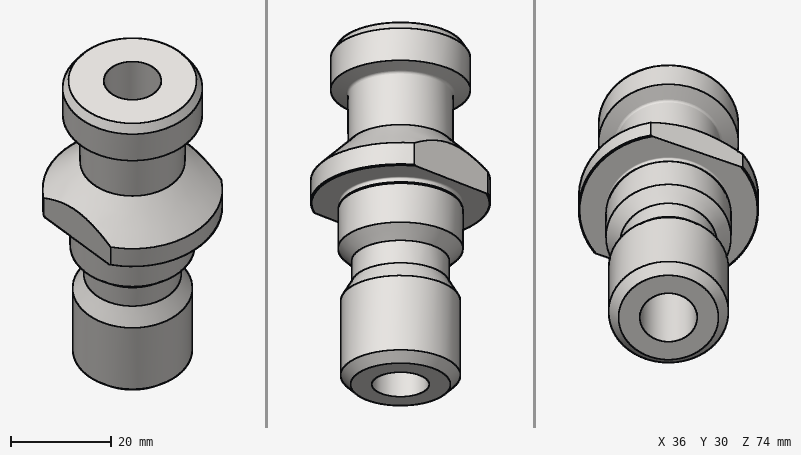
import cadquery as cq
import math

total_height = 74.0
bore_diameter = 11.5

head_radius = 28.0 / 2
head_bottom = 65.05
head_bevel_height = 1.85
head_bevel_width = 1.2
head_underside_angle = math.radians(15)

neck_radius = 21.0 / 2
neck_fillet = 0.5

collar_radius = 36.0 / 2
collar_bottom = 40.0
collar_rim_top = 45.0
collar_edge_chamfer = 0.2
across_flats = 30.0

undercut_radius = 24.5 / 2
undercut_bottom = 39.0
undercut_fillet = 0.3
pilot_radius = 25.0 / 2
pilot_bottom = 30.0
pilot_lead_angle = math.radians(30)

waist_radius = 19.5 / 2
waist_bottom = 22.3
shank_radius = 24.0 / 2
shank_shoulder_angle = math.radians(30)
shank_chamfer = 2.0

neck_top = head_bottom - (head_radius - neck_radius) * math.tan(head_underside_angle)
neck_bottom = collar_rim_top + collar_radius - neck_radius
pilot_top = undercut_bottom - (pilot_radius - undercut_radius) / math.tan(pilot_lead_angle)
waist_top = pilot_bottom - (pilot_radius - waist_radius)
shank_top = waist_bottom - (shank_radius - waist_radius) / math.tan(shank_shoulder_angle)


def turned_body():
    """Revolve the stepped half profile about the Z axis."""
    profile = [
        (0, 0),
        (shank_radius - shank_chamfer, 0),
        (shank_radius, shank_chamfer),
        (shank_radius, shank_top),
        (waist_radius, waist_bottom),
        (waist_radius, waist_top),
        (pilot_radius, pilot_bottom),
        (pilot_radius, pilot_top),
        (undercut_radius, undercut_bottom),
        (undercut_radius, collar_bottom),
        (collar_radius - collar_edge_chamfer, collar_bottom),
        (collar_radius, collar_bottom + collar_edge_chamfer),
        (collar_radius, collar_rim_top),
        (neck_radius, neck_bottom),
        (neck_radius, neck_top),
        (head_radius, head_bottom),
        (head_radius, total_height - head_bevel_height),
        (head_radius - head_bevel_width, total_height),
        (0, total_height),
    ]
    return cq.Workplane("XZ").polyline(profile).close().revolve(360, (0, 0, 0), (0, 1, 0))


def fillet_corner(body, level, radius):
    """Round the circular inside corner at the given height."""
    corner = cq.selectors.BoxSelector(
        (-collar_radius, -collar_radius, level - radius / 2),
        (collar_radius, collar_radius, level + radius / 2),
    )
    inside_edge = body.edges("%CIRCLE").edges(corner).edges(cq.selectors.RadiusNthSelector(0))
    return inside_edge.fillet(radius)


def cut_flats(body):
    """Trim the collar to two parallel wrench flats facing -Y and +Y."""
    envelope = cq.Workplane("XY").box(
        2 * collar_radius, across_flats, total_height, centered=(True, True, False)
    )
    return body.intersect(envelope)


def drill_bore(body):
    """Drill the central hole through the full height."""
    bore = cq.Workplane("XY").circle(bore_diameter / 2).extrude(total_height)
    return body.cut(bore)


result = turned_body()
result = fillet_corner(result, neck_top, neck_fillet)
result = fillet_corner(result, collar_bottom, undercut_fillet)
result = cut_flats(result)
result = drill_bore(result)